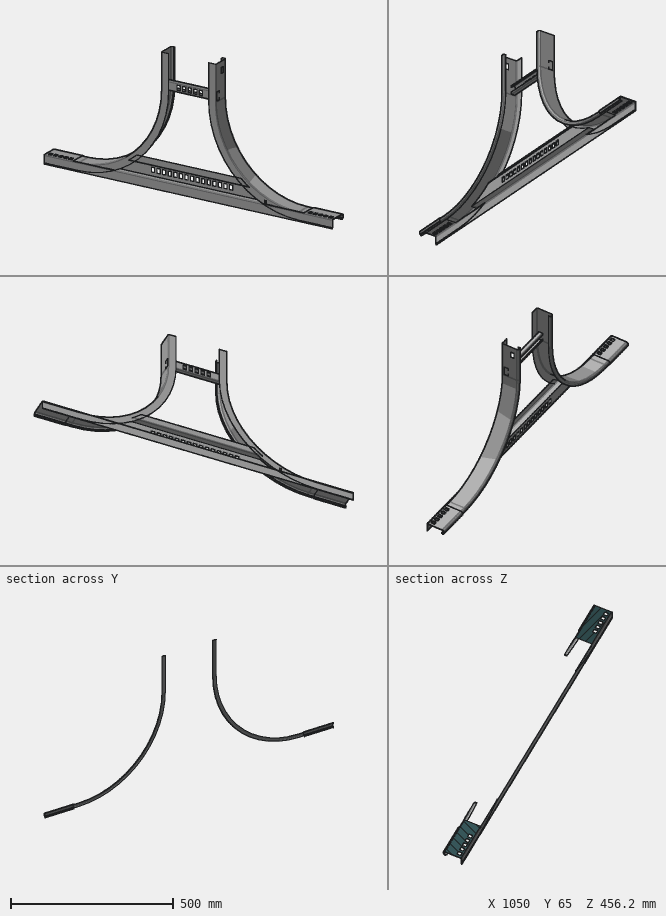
import cadquery as cq
import math



sheet = 1.5
fold = 2.4
fold_inner = fold - sheet

length = 1050.0
height = 456.2
depth = 65.0
center_x = length / 2
base_top = 32.0
ample = 200.0

rail_depth = 60.0
rail_front = 2.0
rail_back = rail_front + rail_depth
rail_bottom = base_top - sheet
bend_radius = 300.0
bend_center_x = 125.0
bend_center_z = rail_bottom + bend_radius
branch_x = bend_center_x + bend_radius
rail_flange = 27.0
curl_radius = 6.0
curl_drop = 14.0
curl_lip = 9.0

flange_hole = 7.0
flange_hole_x = 805.0
flange_hole_z = 40.0

branch_slot_width = 12.0
branch_slot_height = 20.0
branch_slot_y = 40.0
branch_slot_z = height - 31.0

cover_length = 105.0
hook_radius = 9.0
hook_tail = 6.0

end_slot_count = 5
end_slot_pitch = 18.5
end_slot_inset = 15.0
end_slot_length = 10.0
end_slot_width = 12.0
end_slot_y = 15.5

strip_front = rail_front + sheet
strip_top = 97.5
strip_step_z = 73.5
slotted_face_y = 22.0
strip_end_radius = bend_radius + rail_flange / 2

slot_pitch = 20.3
slot_width = 11.5
slot_height = 16.0
strip_slot_count = 15
strip_slot_z = 52.0

rung_bottom = 331.5
rung_height = 31.6
rung_front = 8.7
rung_back = 24.5
rung_lip = 8.0
rung_slot_count = 5
rung_length = length - 2 * (branch_x + sheet)


def front_fold_start(front, web_z, flange_height):
    """Start an outline at the flange's lower edge: up its outer face, over the fold, onto the web."""
    return (
        cq.Workplane("YZ")
        .moveTo(front, web_z - flange_height)
        .lineTo(front, web_z - fold)
        .radiusArc((front + fold, web_z), fold)
    )


def front_fold_end(outline, front, web_z, flange_height):
    """Close an outline: along the web's inner side, round the fold and down the flange's inner face."""
    return (
        outline.lineTo(front + fold, web_z - sheet)
        .radiusArc((front + sheet, web_z - fold), -fold_inner)
        .lineTo(front + sheet, web_z - flange_height)
        .close()
    )


def slot_row(count, middle_z):
    """Upright slots through the Y direction, in a row centred on the part."""
    places = [(center_x + slot_pitch * (i - (count - 1) / 2), middle_z) for i in range(count)]
    return cq.Workplane("XZ").pushPoints(places).rect(slot_width, slot_height).extrude(-ample)


def end_slots():
    """Slots through the base's end covers and the rail webs under them."""
    places = []
    for i in range(end_slot_count):
        from_end = end_slot_inset + end_slot_pitch * i
        places += [(from_end, end_slot_y), (length - from_end, end_slot_y)]
    return cq.Workplane("XY").pushPoints(places).rect(end_slot_length, end_slot_width).extrude(ample)


def rail_profile():
    """Front flange, web, and back edge curled down with a lip turned to the front."""
    bend_z = rail_bottom - curl_radius
    tip_z = rail_bottom - curl_drop
    lip_y = rail_back - curl_lip
    outline = (
        front_fold_start(rail_front, rail_bottom, rail_flange)
        .lineTo(rail_back - curl_radius, rail_bottom)
        .radiusArc((rail_back, bend_z), curl_radius)
        .lineTo(rail_back, tip_z + fold)
        .radiusArc((rail_back - fold, tip_z), fold)
        .lineTo(lip_y, tip_z)
        .lineTo(lip_y, tip_z + sheet)
        .lineTo(rail_back - fold, tip_z + sheet)
        .radiusArc((rail_back - sheet, tip_z + fold), -fold_inner)
        .lineTo(rail_back - sheet, bend_z)
        .radiusArc((rail_back - curl_radius, rail_bottom - sheet), sheet - curl_radius)
    )
    return front_fold_end(outline, rail_front, rail_bottom, rail_flange)


def rail_path():
    return (
        cq.Workplane("XZ")
        .moveTo(0, rail_bottom)
        .lineTo(bend_center_x, rail_bottom)
        .radiusArc((branch_x, bend_center_z), -bend_radius)
        .lineTo(branch_x, height)
    )


def make_left_rail():
    return rail_profile().sweep(rail_path()).cut(end_slots())


def make_right_rail():
    rail = make_left_rail().mirror("YZ", (center_x, 0, 0))
    square_hole = (
        cq.Workplane("XZ")
        .center(flange_hole_x, flange_hole_z)
        .rect(flange_hole, flange_hole)
        .extrude(-strip_front)
    )
    branch_slot = (
        cq.Workplane("YZ", origin=(center_x, 0, 0))
        .center(branch_slot_y, branch_slot_z)
        .rect(branch_slot_width, branch_slot_height)
        .extrude(ample)
    )
    return rail.cut(square_hole).cut(branch_slot)


def front_flange():
    outline = front_fold_start(0, base_top, base_top)
    return front_fold_end(outline, 0, base_top, base_top).extrude(length)


def end_cover():
    """Front flange, web, and a hook that rounds the back edge and ends in a slanted tail."""
    axis_y = depth - hook_radius
    axis_z = base_top - hook_radius
    inner_radius = hook_radius - sheet
    slant = math.sqrt(0.5)

    def hook_point(radius, along):
        return axis_y + (radius - along) * slant, axis_z - (radius + along) * slant

    outline = (
        front_fold_start(0, base_top, base_top)
        .lineTo(axis_y, base_top)
        .threePointArc((depth, axis_z), hook_point(hook_radius, 0))
        .lineTo(*hook_point(hook_radius, hook_tail))
        .lineTo(*hook_point(inner_radius, hook_tail))
        .lineTo(*hook_point(inner_radius, 0))
        .threePointArc((axis_y + inner_radius, axis_z), (axis_y, base_top - sheet))
    )
    return front_fold_end(outline, 0, base_top, base_top).extrude(cover_length)


def cross_strip():
    """Web, slotted face, step to the front and upper face, ending behind the rail flanges."""
    face_back = slotted_face_y + sheet
    front_back = strip_front + sheet
    step_top = strip_step_z + sheet
    strip = (
        cq.Workplane("YZ", origin=(bend_center_x, 0, 0))
        .moveTo(fold, base_top)
        .lineTo(slotted_face_y, base_top)
        .lineTo(slotted_face_y, strip_step_z)
        .lineTo(strip_front + fold, strip_step_z)
        .radiusArc((strip_front, strip_step_z + fold), fold)
        .lineTo(strip_front, strip_top)
        .lineTo(front_back, strip_top)
        .lineTo(front_back, strip_step_z + fold)
        .radiusArc((strip_front + fold, step_top), -fold_inner)
        .lineTo(face_back, step_top)
        .lineTo(face_back, base_top - sheet)
        .lineTo(fold, base_top - sheet)
        .close()
        .extrude(length - 2 * bend_center_x)
    )
    for x in (bend_center_x, length - bend_center_x):
        strip = strip.cut(cq.Workplane("XZ").center(x, bend_center_z).circle(strip_end_radius).extrude(-ample))
    return strip.cut(slot_row(strip_slot_count, strip_slot_z))


def make_base(rails):
    base = front_flange().union(cross_strip())
    for x in (0, length - cover_length):
        base = base.union(end_cover().translate((x, 0, 0)))
    base = base.cut(end_slots())
    for rail in rails:
        base = base.cut(rail)
    return base


def make_rung():
    rung_depth = rung_back - rung_front
    middle = (center_x, (rung_front + rung_back) / 2, rung_bottom + rung_height / 2)
    tube = cq.Workplane("XY").box(rung_length, rung_depth, rung_height).edges("|X").fillet(fold)
    bore = (
        cq.Workplane("XY")
        .box(rung_length, rung_depth - 2 * sheet, rung_height - 2 * sheet)
        .edges("|X")
        .fillet(fold_inner)
    )
    opening = cq.Workplane("XY").box(rung_length, rung_depth, rung_height - 2 * rung_lip)
    opening = opening.translate((0, rung_depth / 2, 0))
    channel = tube.cut(bore).cut(opening).translate(middle)
    return channel.cut(slot_row(rung_slot_count, middle[2]))


left_rail = make_left_rail()
right_rail = make_right_rail()
base = make_base([left_rail, right_rail])
rung = make_rung()

result = cq.Compound.makeCompound([base.val(), left_rail.val(), right_rail.val(), rung.val()])